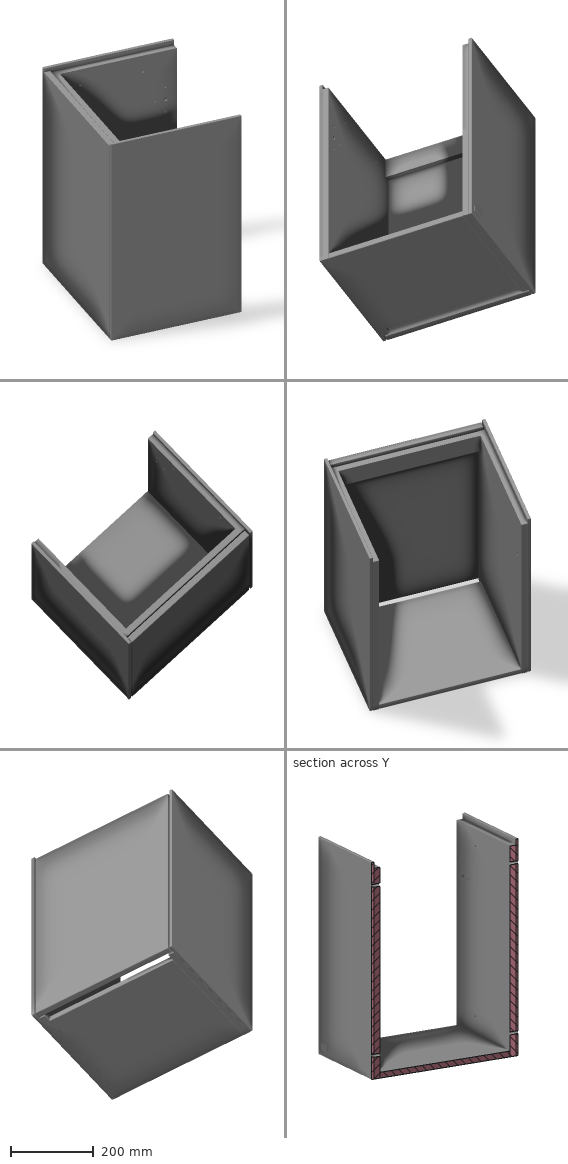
import cadquery as cq

width = 411.0
depth = 344.0
height = 546.0

panel_thickness = 8.0
edge_break = 1.0

board_thickness = 16.0
carcass_drop = 15.5
rail_height = 54.5
carcass_front_y = -152.0

door_thickness = 16.5
door_width = 388.0
door_drop = 9.0

floor_side_gap = 0.35
floor_front_gap = 4.5

label_thickness = 1.0
label_length = 30.5
label_height = 16.5
label_back_margin = 13.5
label_bottom_margin = 16.0

screw_y = (82.5, -82.5)
screw_z = (213.5, -213.5)
clearance_diameter = 6.5
pilot_diameter = 5.0
pilot_depth = 6.0

hanger_y = 142.0
hanger_z = 122.5
hanger_diameter = 10.0
hanger_screw_diameter = 5.0
hanger_screw_offset = 34.0
locating_diameter = 5.0
locating_y = 114.5

half_width = width / 2
back_y = depth / 2
front_y = -depth / 2
top_z = height / 2
bottom_z = -height / 2
carcass_top_z = top_z - carcass_drop

left_panel_x = -half_width + label_thickness
left_side_x = left_panel_x + panel_thickness
inner_left_x = left_side_x + board_thickness
right_panel_x = half_width - panel_thickness
right_side_x = right_panel_x - board_thickness


def board(x_range, y_range, z_range):
    """Rectangular board spanning the given (low, high) ranges."""
    size = [high - low for low, high in (x_range, y_range, z_range)]
    corner = (x_range[0], y_range[0], z_range[0])
    return cq.Workplane("XY").box(*size, centered=False).translate(corner)


def drill_along_x(body, start_x, length, points, diameter):
    """Drill round holes towards +X at the given (y, z) points."""
    drills = (
        cq.Workplane("YZ", origin=(start_x, 0, 0))
        .pushPoints(points)
        .circle(diameter / 2)
        .extrude(length)
    )
    return body.cut(drills)


screw_points = [(y, z) for y in screw_y for z in screw_z]


def make_outer_panel(panel_x, pilot_x):
    """Full-height side panel with broken edges and blind pilot holes on its inner face."""
    panel = board((panel_x, panel_x + panel_thickness), (front_y, back_y), (bottom_z, top_z))
    panel = panel.edges().chamfer(edge_break)
    return drill_along_x(panel, pilot_x, pilot_depth, screw_points, pilot_diameter)


def make_carcass_side(side_x):
    """Carcass side with broken front edges, screw clearance holes and wall hanger holes."""
    side = board(
        (side_x, side_x + board_thickness), (carcass_front_y, back_y), (bottom_z, carcass_top_z)
    )
    side = side.faces("<Y").edges("|Z").chamfer(edge_break)
    hanger_screws = [(hanger_y, hanger_z + sign * hanger_screw_offset) for sign in (-1, 1)]
    holes = (
        (screw_points, clearance_diameter),
        ([(hanger_y, hanger_z)], hanger_diameter),
        (hanger_screws, hanger_screw_diameter),
        ([(locating_y, hanger_z)], locating_diameter),
    )
    for points, diameter in holes:
        side = drill_along_x(side, side_x, board_thickness, points, diameter)
    return side


def make_top_rail():
    """Rail joining the carcass sides at the top, behind the door."""
    rail = board(
        (inner_left_x, right_side_x),
        (carcass_front_y, carcass_front_y + board_thickness),
        (carcass_top_z - rail_height, carcass_top_z),
    )
    return rail.faces("<Y").edges("|X").chamfer(edge_break)


def make_floor():
    """Floor board between the carcass sides, flush with their backs."""
    floor = board(
        (inner_left_x + floor_side_gap, right_side_x - floor_side_gap),
        (carcass_front_y + board_thickness + floor_front_gap, back_y),
        (bottom_z, bottom_z + board_thickness),
    )
    return floor.edges().chamfer(edge_break)


def make_door():
    """Door in front of the carcass, between the outer panels."""
    door = board(
        (-door_width / 2, door_width / 2),
        (front_y, front_y + door_thickness),
        (bottom_z, top_z - door_drop),
    )
    return door.edges().chamfer(edge_break)


def make_label():
    """Thin plate on the outside of the left panel, near its lower back corner."""
    label_back_y = back_y - label_back_margin
    label_bottom_z = bottom_z + label_bottom_margin
    return board(
        (-half_width, left_panel_x),
        (label_back_y - label_length, label_back_y),
        (label_bottom_z, label_bottom_z + label_height),
    )


left_panel = make_outer_panel(left_panel_x, left_side_x - pilot_depth)
right_panel = make_outer_panel(right_panel_x, right_panel_x)
carcass_sides = [make_carcass_side(side_x) for side_x in (left_side_x, right_side_x)]
top_rail = make_top_rail()
floor_board = make_floor()
door = make_door()
label_plate = make_label()

result = cq.Compound.makeCompound(
    [
        left_panel.val(),
        right_panel.val(),
        *[side.val() for side in carcass_sides],
        top_rail.val(),
        floor_board.val(),
        door.val(),
        label_plate.val(),
    ]
)